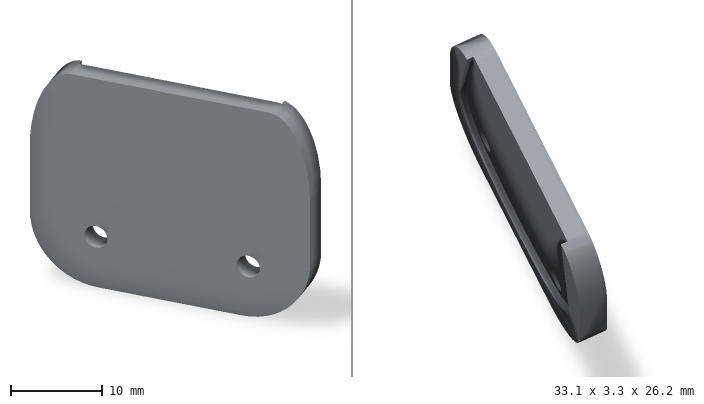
import math

import cadquery as cq

width = 33.1
thickness = 3.3
height = 26.17
half_width = width / 2
bottom_corner_radius = 8.0
top_corner_run = 5.0
top_corner_drop = 10.0

hole_diameter = 2.7
hole_spacing = 18.0
hole_height = 6.3
hole_pair_offset = 0.26

recess_depth = 0.8
recess_opening = 23.9
recess_bottom = 2.6
recess_floor_radius = 30.0
recess_floor_width = hole_spacing
recess_corner_radius = 7.0


def front_sketch(y=0):
    """XZ sketch at the given Y; a negative extrusion runs toward +Y."""
    return cq.Workplane("XZ", origin=(0, y, 0))


def plate():
    flat_bottom = half_width - bottom_corner_radius
    flat_top = half_width - top_corner_run
    side_top = height - top_corner_drop
    quarter_ellipse = {"startAtCurrent": True, "sense": 1}
    return (
        front_sketch()
        .moveTo(-flat_bottom, 0)
        .lineTo(flat_bottom, 0)
        .radiusArc((half_width, bottom_corner_radius), -bottom_corner_radius)
        .lineTo(half_width, side_top)
        .ellipseArc(top_corner_run, top_corner_drop, 0, 90, **quarter_ellipse)
        .lineTo(-flat_top, height)
        .ellipseArc(top_corner_run, top_corner_drop, 90, 180, **quarter_ellipse)
        .lineTo(-half_width, bottom_corner_radius)
        .radiusArc((-flat_bottom, 0), -bottom_corner_radius)
        .close()
        .extrude(-thickness)
    )


def holes():
    centres = [(hole_pair_offset + side * hole_spacing / 2, hole_height) for side in (-1, 1)]
    return front_sketch().pushPoints(centres).circle(hole_diameter / 2).extrude(-thickness)


def recess():
    floor_end_x = recess_floor_width / 2
    floor_half_angle = math.asin(floor_end_x / recess_floor_radius)
    floor_end_z = recess_bottom + recess_floor_radius * (1 - math.cos(floor_half_angle))
    corner_x = floor_end_x - recess_corner_radius * math.sin(floor_half_angle)
    corner_z = floor_end_z + recess_corner_radius * math.cos(floor_half_angle)

    opening_x = recess_opening / 2
    rise = height - corner_z
    reach = opening_x - corner_x
    tangent_angle = math.atan2(rise, reach) - math.acos(recess_corner_radius / math.hypot(reach, rise))
    side_x = corner_x + recess_corner_radius * math.cos(tangent_angle)
    side_z = corner_z + recess_corner_radius * math.sin(tangent_angle)

    return (
        front_sketch(thickness - recess_depth)
        .center(hole_pair_offset, 0)
        .moveTo(-floor_end_x, floor_end_z)
        .threePointArc((0, recess_bottom), (floor_end_x, floor_end_z))
        .radiusArc((side_x, side_z), -recess_corner_radius)
        .lineTo(opening_x, height)
        .lineTo(-opening_x, height)
        .lineTo(-side_x, side_z)
        .radiusArc((-floor_end_x, floor_end_z), -recess_corner_radius)
        .close()
        .extrude(-recess_depth)
    )


result = plate().cut(recess()).cut(holes())